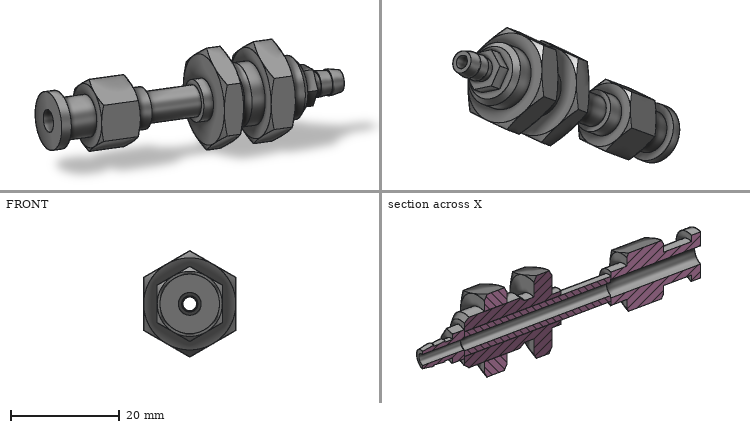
import cadquery as cq
import math


FLANGE_BACK = 2.0
FITTING_HEX_FRONT = 8.0
FITTING_HEX_BACK = 16.0
FITTING_BACK = 19.4
SLEEVE_FRONT = 30.1
SLEEVE_HEX_FRONT = 32.1
SLEEVE_HEX_BACK = 36.05
THREAD_FRONT = 38.05
NUT_FRONT = 41.75
NUT_BACK = 46.75
SLEEVE_BACK = 51.1
BARB_HEX_BACK = 53.65
BARB_END = 60.1

FLANGE_DIAMETER = 11.0
COLLAR_DIAMETER = 8.0
FITTING_HEX_FLATS = 12.0
FITTING_BORE = 4.2
FITTING_HEX_CHAMFER = 0.4

ROD_DIAMETER = 6.0
ROD_BORE = 3.0

THREAD_DIAMETER = 12.0
THREAD_CHAMFER = 1.0
NECK_DIAMETER = THREAD_DIAMETER - 2 * THREAD_CHAMFER
LARGE_HEX_FLATS = 17.0
LARGE_HEX_CHAMFER = 0.6

BARB_HEX_FLATS = 7.0
BARB_ROOT_DIAMETER = 4.5
BARB_TIP_DIAMETER = 4.2
BARB_CREST_DIAMETER = 5.0
BARB_CREST_WIDTH = 0.5
BARB_CREST_FRONTS = (55.2, 57.6)
BARB_BORE = 2.5


def along_axis(y):
    """Workplane across the axis at station y, extruding toward +Y, with local x along +Z."""
    return cq.Workplane(cq.Plane(origin=(0, y, 0), xDir=(0, 0, 1), normal=(0, 1, 0)))


def cylinder(diameter, front, back):
    """Cylinder on the Y axis between two stations."""
    return along_axis(front).circle(diameter / 2).extrude(back - front)


def turned(points):
    """Revolve an outline of (radius, y) points about the Y axis."""
    return cq.Workplane("XY").polyline(points).close().revolve(360, (0, 0), (0, 1))


def corner_diameter(flats):
    """Size across the corners of a hexagon, from its size across the flats."""
    return flats / math.cos(math.pi / 6)


def chamfered_hex(flats, front, back, chamfer):
    """Hexagonal prism with corners along Z, turned down at both ends to a circle on the flats."""
    prism = along_axis(front).polygon(6, corner_diameter(flats)).extrude(back - front)
    flat_radius = flats / 2
    corner_radius = corner_diameter(flats) / 2
    envelope = turned([
        (0, front),
        (flat_radius, front),
        (corner_radius, front + chamfer),
        (corner_radius, back - chamfer),
        (flat_radius, back),
        (0, back),
    ])
    return prism.intersect(envelope)


def make_end_fitting():
    """Bored collar with a front flange and a wrench hexagon."""
    flange = cylinder(FLANGE_DIAMETER, 0, FLANGE_BACK)
    collar = cylinder(COLLAR_DIAMETER, FLANGE_BACK, FITTING_BACK)
    wrench_hex = chamfered_hex(FITTING_HEX_FLATS, FITTING_HEX_FRONT, FITTING_HEX_BACK, FITTING_HEX_CHAMFER)
    bore = cylinder(FITTING_BORE, 0, FITTING_BACK)
    return flange.union(collar).union(wrench_hex).cut(bore)


def make_rod():
    """Tube from the end fitting, through the sleeve, to the hose barb."""
    bore = cylinder(ROD_BORE, FITTING_BACK, SLEEVE_BACK)
    return cylinder(ROD_DIAMETER, FITTING_BACK, SLEEVE_BACK).cut(bore)


def make_sleeve():
    """Sleeve with a front collar, a fixed hexagon, a neck and a plain thread cylinder."""
    collar = cylinder(COLLAR_DIAMETER, SLEEVE_FRONT, SLEEVE_HEX_FRONT)
    wrench_hex = chamfered_hex(LARGE_HEX_FLATS, SLEEVE_HEX_FRONT, SLEEVE_HEX_BACK, LARGE_HEX_CHAMFER)
    neck = cylinder(NECK_DIAMETER, SLEEVE_HEX_BACK, THREAD_FRONT)
    thread = cylinder(THREAD_DIAMETER, THREAD_FRONT, SLEEVE_BACK).edges().chamfer(THREAD_CHAMFER)
    rod_hole = cylinder(ROD_DIAMETER, SLEEVE_FRONT, SLEEVE_BACK)
    return collar.union(wrench_hex).union(neck).union(thread).cut(rod_hole)


def make_lock_nut():
    """Hexagonal nut fitted around the sleeve thread."""
    thread_hole = cylinder(THREAD_DIAMETER, NUT_FRONT, NUT_BACK)
    return chamfered_hex(LARGE_HEX_FLATS, NUT_FRONT, NUT_BACK, LARGE_HEX_CHAMFER).cut(thread_hole)


def make_hose_barb():
    """Wrench hexagon with corners along X, followed by a stem with two tapered barbs."""
    root_radius = BARB_ROOT_DIAMETER / 2
    crest_radius = BARB_CREST_DIAMETER / 2
    tip_radius = BARB_TIP_DIAMETER / 2
    wrench_hex = (
        along_axis(SLEEVE_BACK)
        .transformed(rotate=(0, 0, 90))
        .polygon(6, corner_diameter(BARB_HEX_FLATS))
        .extrude(BARB_HEX_BACK - SLEEVE_BACK)
    )
    inner_crest, outer_crest = BARB_CREST_FRONTS
    stem = turned([
        (0, BARB_HEX_BACK),
        (root_radius, BARB_HEX_BACK),
        (root_radius, inner_crest),
        (crest_radius, inner_crest),
        (crest_radius, inner_crest + BARB_CREST_WIDTH),
        (root_radius, outer_crest),
        (crest_radius, outer_crest),
        (crest_radius, outer_crest + BARB_CREST_WIDTH),
        (tip_radius, BARB_END),
        (0, BARB_END),
    ])
    bore = cylinder(BARB_BORE, SLEEVE_BACK, BARB_END)
    return wrench_hex.union(stem).cut(bore)


end_fitting = make_end_fitting()
rod = make_rod()
sleeve = make_sleeve()
lock_nut = make_lock_nut()
hose_barb = make_hose_barb()

result = cq.Compound.makeCompound([
    end_fitting.val(),
    rod.val(),
    sleeve.val(),
    lock_nut.val(),
    hose_barb.val(),
])